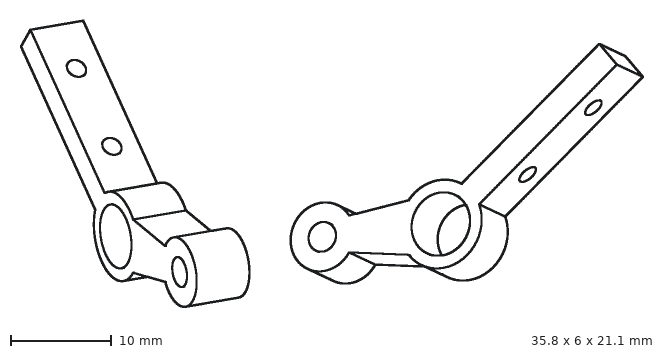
import cadquery as cq

width = 6.0

hub_diameter = 9.0
hub_bore = 6.4
eye_diameter = 7.0
eye_bore = 3.0
eye_distance = 13.0

web_half_height_at_hub = 3.25
web_half_height_at_eye = 1.47

arm_length = 24.0
arm_thickness = 3.0
arm_angle = 40
arm_hole_diameter = 2.0
arm_hole_positions = (9.32, 18.75)


def cylinder(x, diameter):
    """Full-width cylinder along Y, centred at the given X."""
    return cq.Workplane("XZ").center(x, 0).circle(diameter / 2).extrude(width / 2, both=True)


def make_web():
    """Symmetric plate that tapers from the hub axis to the eye axis."""
    return (
        cq.Workplane("XZ")
        .moveTo(0, -web_half_height_at_hub)
        .lineTo(eye_distance, -web_half_height_at_eye)
        .lineTo(eye_distance, web_half_height_at_eye)
        .lineTo(0, web_half_height_at_hub)
        .close()
        .extrude(width / 2, both=True)
    )


def make_arm():
    """Drilled bar pointing to -X, then raised about the hub axis."""
    arm = cq.Workplane("XY").box(arm_length, width, arm_thickness).translate((-arm_length / 2, 0, 0))
    for position in arm_hole_positions:
        hole = (
            cq.Workplane("XY")
            .center(-position, 0)
            .circle(arm_hole_diameter / 2)
            .extrude(arm_thickness, both=True)
        )
        arm = arm.cut(hole)
    return arm.rotate((0, 0, 0), (0, 1, 0), arm_angle)


hub = cylinder(0, hub_diameter)
eye = cylinder(eye_distance, eye_diameter)
body = hub.union(make_web()).union(eye).union(make_arm())
result = body.cut(cylinder(0, hub_bore)).cut(cylinder(eye_distance, eye_bore))